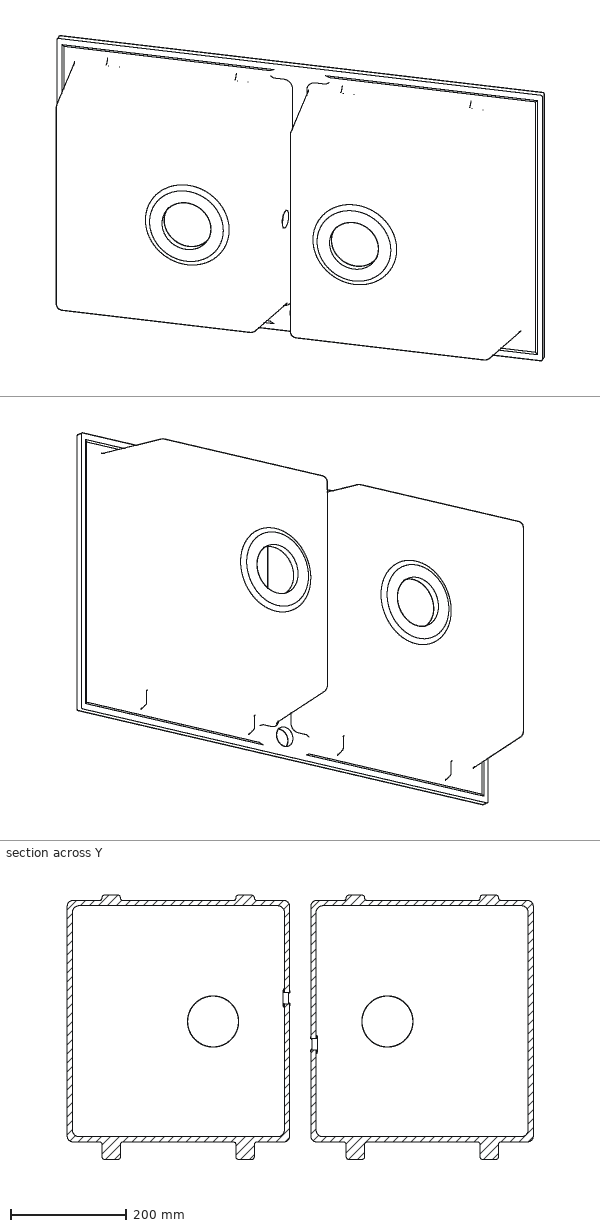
import cadquery as cq
import math

TOTAL_DEPTH = 199.0

RIM_LENGTH = 875.1
RIM_HEIGHT = 504.1
RIM_THICKNESS = 15.0
RIM_EDGE_RADIUS = 3.0

RECESS_DEPTH = 1.5
RECESS_INNER_X = 46.5
RECESS_OUTER_X = 428.5
RECESS_HALF_HEIGHT = 241.0
RECESS_SIDE_SLOPE = 3.5
RECESS_END_SLOPE = 7.5

BOWL_X = 211.0
BOWL_Z = 10.5
BOWL_LENGTH = 388.0
BOWL_HEIGHT = 421.0
BOWL_DRAFT = 4.6
BOWL_EDGE_DEPTH = 189.5
BOWL_FLOOR_RADIUS = 14.0
BOWL_CORNER_RADIUS = 11.0
BOWL_ROOT_RADIUS = 10.0
WALL = 10.0

DRAIN_X = 151.0
DRAIN_Z = 10.0
DRAIN_HOLE_DIAMETER = 88.0
BOSS_BASE_DIAMETER = 151.0
BOSS_TIP_DIAMETER = 133.0
FLOOR_FALL = 4.0
FLOOR_GUIDE_POINTS = 8

OVERFLOW_DIAMETER = 31.0
OVERFLOW_DEPTH = 38.0
OVERFLOW_OFFSET_Z = 40.0
OVERFLOW_CUT_X = 47.0

TAP_DIAMETER = 35.0
TAP_Z = -217.0

BLOCK_XS = (95.5, 327.5)
BLOCK_WIDTH = 37.0
BLOCK_OUTER_Z = 231.5
BLOCK_INNER_Z = 190.0
BLOCK_TIP_DEPTH = 39.5
BLOCK_DRAFT = 10.0
BLOCK_EDGE_RADIUS = 5.0
BLOCK_ROOT_RADIUS = 4.0

PLATE_THICKNESS = RIM_THICKNESS - RECESS_DEPTH
SIDES = (-1, 1)
TOUCHING = 0.001


def plane_at(depth, x=0.0, z=0.0):
    """Workplane at a depth below the sink face; it extrudes towards -Y."""
    return cq.Workplane("XZ", origin=(x, -depth, z))


def rim_slab(start, end):
    """Full outline of the rim between two depths, with rounded corners."""
    slab = plane_at(start).rect(RIM_LENGTH, RIM_HEIGHT).extrude(end - start)
    return slab.edges("|Y").fillet(RIM_EDGE_RADIUS)


def tapered_bowl(side, inset, edge_depth):
    """Bowl-shaped solid from the sink face down, inset evenly from the outer walls."""
    spread = RIM_THICKNESS * math.tan(math.radians(BOWL_DRAFT)) - inset
    bowl = (
        plane_at(0, side * BOWL_X, BOWL_Z)
        .rect(BOWL_LENGTH + 2 * spread, BOWL_HEIGHT + 2 * spread)
        .extrude(edge_depth, taper=BOWL_DRAFT)
    )
    bowl = bowl.edges("not (>Y or <Y)").fillet(BOWL_CORNER_RADIUS)
    bowl = bowl.faces("<Y").edges().fillet(BOWL_FLOOR_RADIUS)
    return with_sloping_floor(bowl, side, edge_depth)


def with_sloping_floor(bowl, side, edge_depth):
    """Swap the flat end of a bowl for one smooth face that falls to the drain circle."""
    drain_circle = []
    for index in range(FLOOR_GUIDE_POINTS):
        angle = 2 * math.pi * index / FLOOR_GUIDE_POINTS
        x = side * DRAIN_X + BOSS_BASE_DIAMETER / 2 * math.cos(angle)
        z = DRAIN_Z + BOSS_BASE_DIAMETER / 2 * math.sin(angle)
        drain_circle.append(cq.Vector(x, -edge_depth - FLOOR_FALL, z))
    floor = cq.Face.makeNSidedSurface(bowl.faces("<Y").edges().vals(), drain_circle)
    other_faces = bowl.faces("not <Y").vals()
    return cq.Workplane(cq.Solid.makeSolid(cq.Shell.makeShell(other_faces + [floor])))


def drain_boss(side):
    """Conical boss, carried down at the same slope until it is buried in the floor."""
    visible_height = TOTAL_DEPTH - BOWL_EDGE_DEPTH - FLOOR_FALL
    full_height = TOTAL_DEPTH - BOWL_EDGE_DEPTH
    flare = (BOSS_BASE_DIAMETER - BOSS_TIP_DIAMETER) * full_height / visible_height
    return (
        plane_at(BOWL_EDGE_DEPTH, side * DRAIN_X, DRAIN_Z)
        .circle((BOSS_TIP_DIAMETER + flare) / 2)
        .workplane(offset=full_height)
        .circle(BOSS_TIP_DIAMETER / 2)
        .loft()
    )


def fixing_block(x, side_z):
    """Drafted block standing on the recess floor and growing out of the bowl wall."""
    middle_z = side_z * (BLOCK_OUTER_Z + BLOCK_INNER_Z) / 2
    block = (
        plane_at(PLATE_THICKNESS, x, middle_z)
        .rect(BLOCK_WIDTH, BLOCK_OUTER_Z - BLOCK_INNER_Z)
        .extrude(BLOCK_TIP_DEPTH - PLATE_THICKNESS, taper=BLOCK_DRAFT)
    )
    return block.edges("not >Y").fillet(BLOCK_EDGE_RADIUS)


def add_fixing_block(body, x, side_z):
    """Join one block to the body and blend its foot into the recess floor and bowl wall."""
    joined = body.union(fixing_block(x, side_z))
    reach = BLOCK_WIDTH / 2 + TOUCHING
    near_block = cq.selectors.BoxSelector(
        (x - reach, -TOTAL_DEPTH, side_z * BLOCK_INNER_Z),
        (x + reach, 0, side_z * (BLOCK_OUTER_Z + TOUCHING)),
        boundingbox=True,
    )
    old_surface = body.val()

    def on_old_surface(edge):
        middle = cq.Vertex.makeVertex(*edge.positionAt(0.5).toTuple())
        return old_surface.distance(middle) < TOUCHING

    foot = joined.edges(near_block).filter(on_old_surface)
    return foot.fillet(BLOCK_ROOT_RADIUS)


def recess(side):
    """Recess volume with sloping walls, widest at the underside of the rim."""
    length = RECESS_OUTER_X - RECESS_INNER_X
    floor_length = length - RECESS_END_SLOPE - RECESS_SIDE_SLOPE
    floor_shift = side * (RECESS_END_SLOPE - RECESS_SIDE_SLOPE) / 2
    middle_x = side * (RECESS_INNER_X + RECESS_OUTER_X) / 2
    return (
        plane_at(PLATE_THICKNESS, middle_x)
        .center(floor_shift, 0)
        .rect(floor_length, 2 * (RECESS_HALF_HEIGHT - RECESS_SIDE_SLOPE))
        .workplane(offset=RECESS_DEPTH)
        .center(-floor_shift, 0)
        .rect(length, 2 * RECESS_HALF_HEIGHT)
        .loft()
    )


def overflow(side):
    """Opening through the inner wall of one bowl."""
    z = BOWL_Z + side * OVERFLOW_OFFSET_Z
    return (
        cq.Workplane("YZ", origin=(0, -OVERFLOW_DEPTH, z))
        .circle(OVERFLOW_DIAMETER / 2)
        .extrude(side * OVERFLOW_CUT_X)
    )


body = rim_slab(0, PLATE_THICKNESS)
body = body.faces(">Y").edges().fillet(RIM_EDGE_RADIUS)
for side in SIDES:
    body = body.union(tapered_bowl(side, 0, BOWL_EDGE_DEPTH))
root_box = cq.selectors.BoxSelector(
    (-RECESS_OUTER_X, -PLATE_THICKNESS - TOUCHING, -RECESS_HALF_HEIGHT),
    (RECESS_OUTER_X, -PLATE_THICKNESS + TOUCHING, RECESS_HALF_HEIGHT),
    boundingbox=True,
)
body = body.edges(root_box).fillet(BOWL_ROOT_RADIUS)

for side in SIDES:
    body = body.union(drain_boss(side))
    for x in BLOCK_XS:
        for side_z in SIDES:
            body = add_fixing_block(body, side * x, side_z)

frame = rim_slab(PLATE_THICKNESS, RIM_THICKNESS)
for side in SIDES:
    frame = frame.cut(recess(side))
body = body.union(frame)

for side in SIDES:
    body = body.cut(tapered_bowl(side, WALL, BOWL_EDGE_DEPTH - WALL))
    drain = plane_at(0, side * DRAIN_X, DRAIN_Z).circle(DRAIN_HOLE_DIAMETER / 2)
    body = body.cut(drain.extrude(TOTAL_DEPTH))
    body = body.cut(overflow(side))

tap_hole = plane_at(0, 0, TAP_Z).circle(TAP_DIAMETER / 2).extrude(RIM_THICKNESS)
result = body.cut(tap_hole)